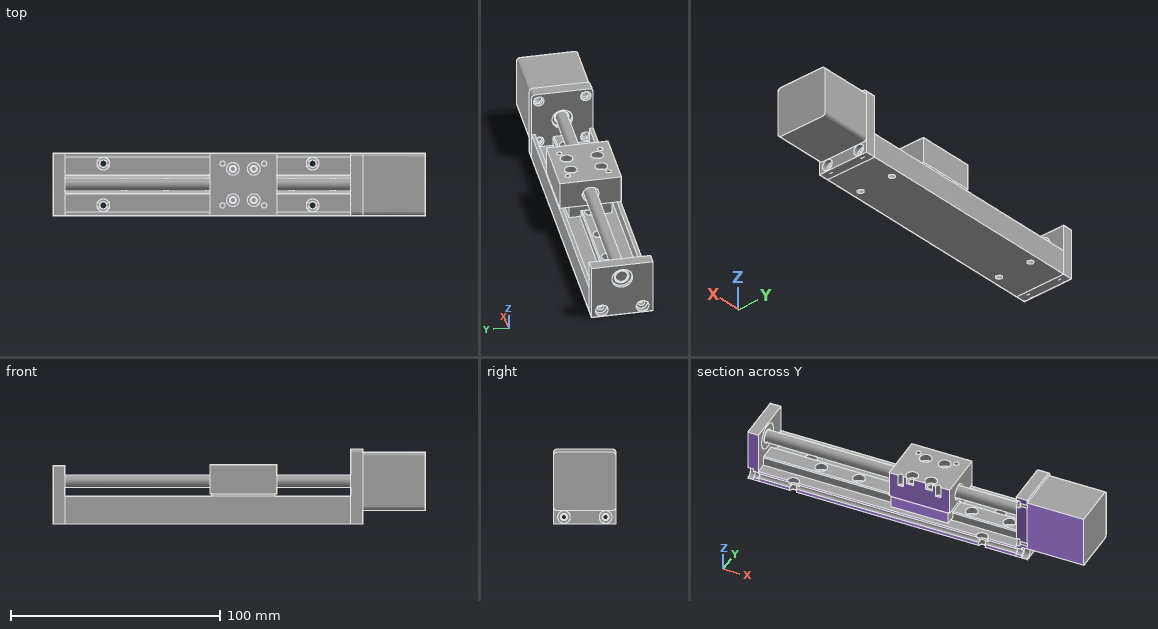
import cadquery as cq

TOTAL_LENGTH = 178.0
WIDTH = 30.0
CORNER_RADIUS = 2.0

END_PLATE_THICKNESS = 5.7
END_PLATE_HEIGHT = 28.0

MOTOR_PLATE_THICKNESS = 5.9
MOTOR_PLATE_HEIGHT = 36.0
MOTOR_LENGTH = 29.9
MOTOR_HEIGHT = 28.0
MOTOR_SCREW_PITCH = 23.0
MOTOR_SCREW_HOLE = 3.4
MOTOR_SCREW_HEAD = 5.0
MOTOR_SCREW_HEAD_DEPTH = 2.0

BASE_HEIGHT = 13.4
BASE_FLOOR = 6.0
BASE_WALL = 1.8

AXIS_HEIGHT = 20.5
SCREW_DIAMETER = 6.0

BEARING_DIAMETER = 13.0
BEARING_BORE_CHAMFER = 0.5
BEARING_SETBACK = 1.6
BEARING_WINDOW = 10.0

TAPPED_HOLE = 2.5
CLEARANCE_HOLE = 3.4
HEAD_RECESS = 6.0
PLATE_HEAD_DEPTH = 3.0
FIXING_PITCH_Y = 20.0
PLATE_SCREW_HEIGHT = 3.4

FOOT_HOLE_START = 24.0
FOOT_HOLE_PITCH = 100.0
FOOT_HEAD_DEPTH = 3.0

RAIL_WIDTH = 9.0
RAIL_HEIGHT = 5.0
RAIL_CHAMFER = 0.5
RAIL_HOLE = 3.5
RAIL_HEAD_RECESS = 6.0
RAIL_HEAD_DEPTH = 3.5
RAIL_HOLE_PITCH = 20.0
RAIL_HOLE_COUNT = 6
RAIL_HOLE_START = 34.2

TABLE_START = 75.0
TABLE_LENGTH = 32.0
TABLE_BOTTOM = 14.5
TABLE_TOP = 28.5
TABLE_BORE = 8.0
TABLE_HOLE_PITCH = 20.0
TABLE_HOLE_DEPTH = 6.0
TABLE_HEAD_DEPTH = 3.5

BLOCK_LENGTH = 30.3
BLOCK_WIDTH = 21.0
BLOCK_CLEARANCE = 2.0
BLOCK_SCREW_PITCH_X = 10.0
BLOCK_SCREW_PITCH_Y = 15.0
BLOCK_THREAD_DEPTH = 3.0

MOTOR_START = TOTAL_LENGTH - MOTOR_LENGTH
MOTOR_PLATE_START = MOTOR_START - MOTOR_PLATE_THICKNESS
BASE_START = END_PLATE_THICKNESS
BASE_LENGTH = MOTOR_PLATE_START - BASE_START
RAIL_TOP = BASE_FLOOR + RAIL_HEIGHT
CARRIAGE_CENTRE = TABLE_START + TABLE_LENGTH / 2
MOTOR_BEARING_START = MOTOR_PLATE_START + BEARING_SETBACK


def box(x_start, length, width, z_bottom, z_top):
    """A block centred on Y, from x_start along +X and between two heights."""
    start_plane = cq.Workplane("XY", origin=(x_start, 0, z_bottom))
    return start_plane.box(length, width, z_top - z_bottom, centered=(False, True, False))


def rod(x_start, length, diameter, y, z):
    """A cylinder along +X."""
    return cq.Workplane("YZ", origin=(x_start, y, z)).circle(diameter / 2).extrude(length)


def drill(x, y, z_top, diameter, depth):
    """A cylinder going down from z_top."""
    return cq.Workplane("XY", origin=(x, y, z_top)).circle(diameter / 2).extrude(-depth)


def both_sides(pitch):
    """The two offsets of a pair set symmetrically about zero."""
    return (-pitch / 2, pitch / 2)


def cut_plate_screws(plate, head_start, plate_start, thickness):
    """Counterbored holes for the two screws that go into one end of the base."""
    for y in both_sides(FIXING_PITCH_Y):
        plate = plate.cut(rod(plate_start, thickness, CLEARANCE_HOLE, y, PLATE_SCREW_HEIGHT))
        plate = plate.cut(rod(head_start, PLATE_HEAD_DEPTH, HEAD_RECESS, y, PLATE_SCREW_HEIGHT))
    return plate


def make_base():
    """U-shaped channel with foot holes and end threads."""
    base = box(BASE_START, BASE_LENGTH, WIDTH, 0, BASE_HEIGHT)
    base = base.cut(box(BASE_START, BASE_LENGTH, WIDTH - 2 * BASE_WALL, BASE_FLOOR, BASE_HEIGHT))
    for y in both_sides(FIXING_PITCH_Y):
        base = base.cut(rod(BASE_START, BASE_LENGTH, TAPPED_HOLE, y, PLATE_SCREW_HEIGHT))
        for x in (FOOT_HOLE_START, FOOT_HOLE_START + FOOT_HOLE_PITCH):
            base = base.cut(drill(x, y, BASE_FLOOR, CLEARANCE_HOLE, BASE_FLOOR))
            base = base.cut(drill(x, y, BASE_FLOOR, HEAD_RECESS, FOOT_HEAD_DEPTH))
    return base


def make_end_plate():
    """Plate at the free end; its bearing seat opens toward the base."""
    plate = box(0, END_PLATE_THICKNESS, WIDTH, 0, END_PLATE_HEIGHT)
    plate = plate.cut(rod(0, END_PLATE_THICKNESS, BEARING_WINDOW, 0, AXIS_HEIGHT))
    seat_depth = END_PLATE_THICKNESS - BEARING_SETBACK
    plate = plate.cut(rod(BEARING_SETBACK, seat_depth, BEARING_DIAMETER, 0, AXIS_HEIGHT))
    return cut_plate_screws(plate, 0, 0, END_PLATE_THICKNESS)


def make_motor_plate():
    """Taller plate between base and motor; its bearing seat opens toward the motor."""
    plate = box(MOTOR_PLATE_START, MOTOR_PLATE_THICKNESS, WIDTH, 0, MOTOR_PLATE_HEIGHT)
    plate = plate.edges("|X and >Z").fillet(CORNER_RADIUS)
    plate = plate.cut(rod(MOTOR_PLATE_START, MOTOR_PLATE_THICKNESS, BEARING_WINDOW, 0, AXIS_HEIGHT))
    seat_depth = MOTOR_PLATE_THICKNESS - BEARING_SETBACK
    plate = plate.cut(rod(MOTOR_BEARING_START, seat_depth, BEARING_DIAMETER, 0, AXIS_HEIGHT))
    for y in both_sides(MOTOR_SCREW_PITCH):
        for dz in both_sides(MOTOR_SCREW_PITCH):
            z = AXIS_HEIGHT + dz
            plate = plate.cut(rod(MOTOR_PLATE_START, MOTOR_PLATE_THICKNESS, MOTOR_SCREW_HOLE, y, z))
            plate = plate.cut(rod(MOTOR_PLATE_START, MOTOR_SCREW_HEAD_DEPTH, MOTOR_SCREW_HEAD, y, z))
    head_start = MOTOR_START - PLATE_HEAD_DEPTH
    return cut_plate_screws(plate, head_start, MOTOR_PLATE_START, MOTOR_PLATE_THICKNESS)


def make_motor():
    """Motor body with rounded long edges."""
    bottom = AXIS_HEIGHT - MOTOR_HEIGHT / 2
    motor = box(MOTOR_START, MOTOR_LENGTH, WIDTH, bottom, bottom + MOTOR_HEIGHT)
    return motor.edges("|X").fillet(CORNER_RADIUS)


def make_screw():
    """Drive screw, from the outer face of one bearing to the motor."""
    return rod(BEARING_SETBACK, MOTOR_START - BEARING_SETBACK, SCREW_DIAMETER, 0, AXIS_HEIGHT)


def make_bearing(x_start, x_end):
    """Ring around the screw, with a chamfered bore."""
    length = x_end - x_start
    ring = rod(x_start, length, BEARING_DIAMETER, 0, AXIS_HEIGHT)
    ring = ring.cut(rod(x_start, length, SCREW_DIAMETER, 0, AXIS_HEIGHT))
    bore_rims = cq.selectors.RadiusNthSelector(0)
    return ring.edges(bore_rims).chamfer(BEARING_BORE_CHAMFER)


def make_rail():
    """Guide rail along the channel floor with a row of counterbored holes."""
    rail = box(BASE_START, BASE_LENGTH, RAIL_WIDTH, BASE_FLOOR, RAIL_TOP)
    rail = rail.edges("|X and >Z").chamfer(RAIL_CHAMFER)
    for i in range(RAIL_HOLE_COUNT):
        x = RAIL_HOLE_START + i * RAIL_HOLE_PITCH
        rail = rail.cut(drill(x, 0, RAIL_TOP, RAIL_HOLE, RAIL_HEIGHT))
        rail = rail.cut(drill(x, 0, RAIL_TOP, RAIL_HEAD_RECESS, RAIL_HEAD_DEPTH))
    return rail


def cut_block_screws(body, z_top, diameter, depth):
    """Four holes on the screw pattern shared by the guide block and the table."""
    for dx in both_sides(BLOCK_SCREW_PITCH_X):
        for y in both_sides(BLOCK_SCREW_PITCH_Y):
            body = body.cut(drill(CARRIAGE_CENTRE + dx, y, z_top, diameter, depth))
    return body


def make_guide_block():
    """Block that straddles the rail and carries the table."""
    start = CARRIAGE_CENTRE - BLOCK_LENGTH / 2
    block = box(start, BLOCK_LENGTH, BLOCK_WIDTH, BASE_FLOOR + BLOCK_CLEARANCE, TABLE_BOTTOM)
    block = block.cut(box(start, BLOCK_LENGTH, RAIL_WIDTH, BASE_FLOOR, RAIL_TOP))
    return cut_block_screws(block, TABLE_BOTTOM, TAPPED_HOLE, BLOCK_THREAD_DEPTH)


def make_table():
    """Moving table with the screw bore, block screws and four threads for the load."""
    table = box(TABLE_START, TABLE_LENGTH, WIDTH, TABLE_BOTTOM, TABLE_TOP)
    table = table.cut(rod(TABLE_START, TABLE_LENGTH, TABLE_BORE, 0, AXIS_HEIGHT))
    table = cut_block_screws(table, TABLE_TOP, CLEARANCE_HOLE, TABLE_TOP - TABLE_BOTTOM)
    table = cut_block_screws(table, TABLE_TOP, HEAD_RECESS, TABLE_HEAD_DEPTH)
    for dx in both_sides(TABLE_HOLE_PITCH):
        for y in both_sides(TABLE_HOLE_PITCH):
            table = table.cut(drill(CARRIAGE_CENTRE + dx, y, TABLE_TOP, TAPPED_HOLE, TABLE_HOLE_DEPTH))
    return table


base = make_base()
end_plate = make_end_plate()
motor_plate = make_motor_plate()
motor = make_motor()
screw = make_screw()
rail = make_rail()
guide_block = make_guide_block()
table = make_table()
bearing_spans = (
    (BEARING_SETBACK, END_PLATE_THICKNESS),
    (MOTOR_BEARING_START, MOTOR_START),
)
bearings = [make_bearing(x_start, x_end) for x_start, x_end in bearing_spans]

bodies = [base, end_plate, motor_plate, motor, screw, rail, guide_block, table, *bearings]
result = cq.Compound.makeCompound([body.solids().val() for body in bodies])